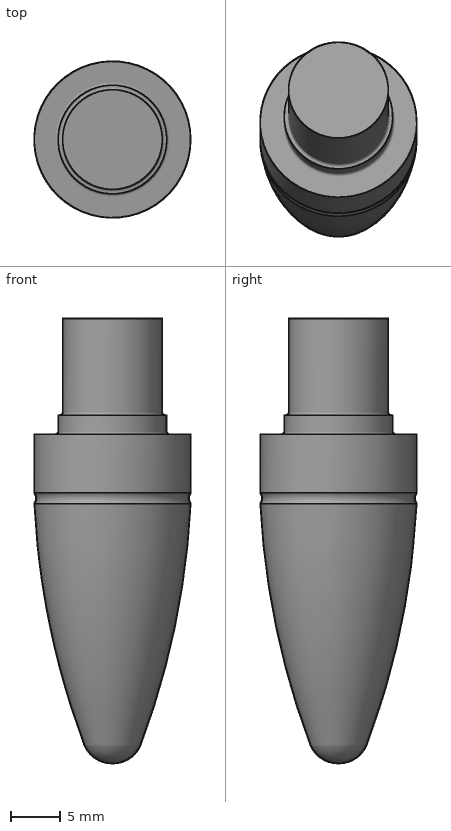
import cadquery as cq

body_radius = 7.95
collar_radius = 5.5
pin_radius = 5.05
nose_rim_radius = 2.85

nose_height = 1.85
tip_top = 26.43
groove_top = 27.5
flange_top = 33.5
collar_top = 35.45
total_height = 45.25

groove_depth = 0.2
collar_foot_fillet = 0.25
pin_foot_fillet = 0.25

flank_bulge = 1.0


def make_tip():
    """Ogive tip with a spherical nose, flat on top."""
    nose_sphere_radius = (nose_rim_radius**2 + nose_height**2) / (2 * nose_height)
    nose_mid_radius = nose_rim_radius / 2
    nose_mid_height = nose_sphere_radius - (nose_sphere_radius**2 - nose_mid_radius**2) ** 0.5
    flank_mid_radius = (body_radius + nose_rim_radius) / 2 + flank_bulge
    flank_mid_height = (tip_top + nose_height) / 2
    return (
        cq.Workplane("XZ")
        .moveTo(0, 0)
        .threePointArc((nose_mid_radius, nose_mid_height), (nose_rim_radius, nose_height))
        .threePointArc((flank_mid_radius, flank_mid_height), (body_radius, tip_top))
        .lineTo(0, tip_top)
        .close()
        .revolve(360, (0, 0), (0, 1))
    )


def concave_fillet(profile, radius, height, size):
    """Continue the profile from a ledge up a wall, through a concave quarter arc."""
    offset = size * (1 - 0.5**0.5)
    return profile.lineTo(radius + size, height).threePointArc(
        (radius + offset, height + offset), (radius, height + size)
    )


def make_shank():
    """Flange with a groove at its foot, a collar and a plain pin above."""
    groove_mid_height = (tip_top + groove_top) / 2
    profile = (
        cq.Workplane("XZ")
        .moveTo(0, tip_top)
        .lineTo(body_radius, tip_top)
        .threePointArc((body_radius - groove_depth, groove_mid_height), (body_radius, groove_top))
        .lineTo(body_radius, flange_top)
    )
    profile = concave_fillet(profile, collar_radius, flange_top, collar_foot_fillet)
    profile = profile.lineTo(collar_radius, collar_top)
    profile = concave_fillet(profile, pin_radius, collar_top, pin_foot_fillet)
    return (
        profile.lineTo(pin_radius, total_height)
        .lineTo(0, total_height)
        .close()
        .revolve(360, (0, 0), (0, 1))
    )


tip = make_tip()
shank = make_shank()

result = cq.Compound.makeCompound([tip.val(), shank.val()])